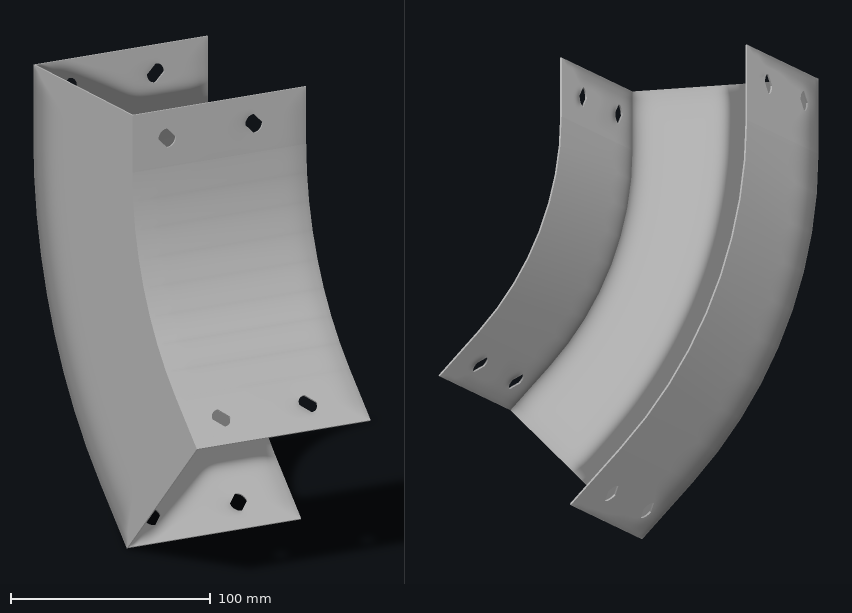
import cadquery as cq
import math

HEIGHT = 228.0
CHANNEL_WIDTH = 100.0
CHANNEL_DEPTH = 100.0
SHEET = 0.87
BEND_ANGLE = 45.0
OUTER_RADIUS = 230.0
INNER_RADIUS = 150.0

HOLE_DIAMETER = 10.0
HOLE_FLATS = 7.0
HOLE_TILT = 45.0
HOLE_END_DISTANCE = 14.8
FIRST_HOLE_Y = 20.0
HOLE_SPACING = 50.0
CUT_LENGTH = 8 * SHEET

bend = math.radians(BEND_ANGLE)
half_bend_tan = math.tan(bend / 2)
outer_corner = HEIGHT / (1 + math.cos(bend))
inner_corner = outer_corner - CHANNEL_WIDTH * half_bend_tan
outer_leg = outer_corner - OUTER_RADIUS * half_bend_tan
inner_leg = inner_corner - INNER_RADIUS * half_bend_tan


def edge_points(x, leg, radius):
    """Points along one bent edge: top, bend start, bend middle, bend end, lower end."""

    def on_bend(angle):
        return (x + radius * (1 - math.cos(angle)), -leg - radius * math.sin(angle))

    bend_end = on_bend(bend)
    lower_end = (bend_end[0] + leg * math.sin(bend), bend_end[1] - leg * math.cos(bend))
    return [(x, 0), (x, -leg), on_bend(bend / 2), bend_end, lower_end]


def elbow(inset, depth):
    """Bent solid from y = 0 to depth, with both walls offset inward by inset."""
    outer = edge_points(inset, outer_leg, OUTER_RADIUS - inset)
    inner = edge_points(CHANNEL_WIDTH - inset, inner_leg, INNER_RADIUS + inset)
    return (
        cq.Workplane("XZ")
        .moveTo(*outer[0])
        .lineTo(*outer[1])
        .threePointArc(outer[2], outer[3])
        .lineTo(*outer[4])
        .lineTo(*inner[4])
        .lineTo(*inner[3])
        .threePointArc(inner[2], inner[1])
        .lineTo(*inner[0])
        .close()
        .extrude(-depth)
    )


def hole_cutter(tilt):
    """Round cutter with two flats, its flats turned by tilt in the local XY plane."""
    round_part = cq.Workplane("XY").circle(HOLE_DIAMETER / 2).extrude(CUT_LENGTH / 2, both=True)
    strip = cq.Workplane("XY").box(HOLE_DIAMETER, HOLE_FLATS, CUT_LENGTH)
    return round_part.intersect(strip).rotate((0, 0, 0), (0, 0, 1), tilt)


def hole_pair(position, normal, tilt):
    """Two tilted flat-sided cutters centred on a wall at the given (x, z) position."""
    plane = cq.Plane(origin=(position[0], 0, position[1]), xDir=(0, 1, 0), normal=normal)
    cutter = hole_cutter(tilt).val()
    centers = [(FIRST_HOLE_Y, 0), (FIRST_HOLE_Y + HOLE_SPACING, 0)]
    return (
        cq.Workplane(plane)
        .pushPoints(centers)
        .eachpoint(lambda location: cutter.moved(location), True)
    )


cavity = elbow(SHEET, CHANNEL_DEPTH).translate((0, SHEET, 0))
channel = elbow(0, CHANNEL_DEPTH).cut(cavity)

outer_edge = edge_points(0, outer_leg, OUTER_RADIUS)
inner_edge = edge_points(CHANNEL_WIDTH, inner_leg, INNER_RADIUS)
lower_normal = (math.cos(bend), 0, math.sin(bend))
for edge, tilt in ((outer_edge, HOLE_TILT), (inner_edge, -HOLE_TILT)):
    top_position = (edge[0][0], -HOLE_END_DISTANCE)
    lower_position = (
        edge[4][0] - HOLE_END_DISTANCE * math.sin(bend),
        edge[4][1] + HOLE_END_DISTANCE * math.cos(bend),
    )
    channel = channel.cut(hole_pair(top_position, (1, 0, 0), tilt))
    channel = channel.cut(hole_pair(lower_position, lower_normal, tilt))

result = channel